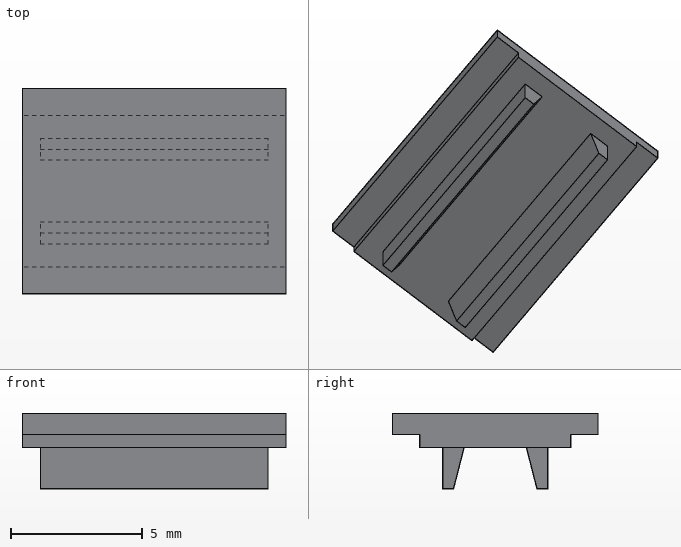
import cadquery as cq

length = 10.0
plate_width = 7.8
plate_thickness = 0.8

step_width = 5.74
step_thickness = 0.5

rail_length = 8.64
rail_span = 4.0
rail_height = 1.56
rail_root = 0.82
rail_tip = 0.42

step_bottom = rail_height
plate_bottom = step_bottom + step_thickness


def slab(width, thickness, bottom):
    """Full-length rectangular slab."""
    return (
        cq.Workplane("XY")
        .workplane(offset=bottom)
        .rect(length, width)
        .extrude(thickness)
    )


def rail(side):
    """Rail with a vertical outer face and a sloping inner face; side is -1 or +1 in Y."""
    outer = rail_span / 2
    profile = [
        (side * outer, 0),
        (side * outer, step_bottom),
        (side * (outer - rail_root), step_bottom),
        (side * (outer - rail_tip), 0),
    ]
    return cq.Workplane("YZ").polyline(profile).close().extrude(rail_length / 2, both=True)


result = slab(plate_width, plate_thickness, plate_bottom)
result = result.union(slab(step_width, step_thickness, step_bottom))
for side in (-1, 1):
    result = result.union(rail(side))